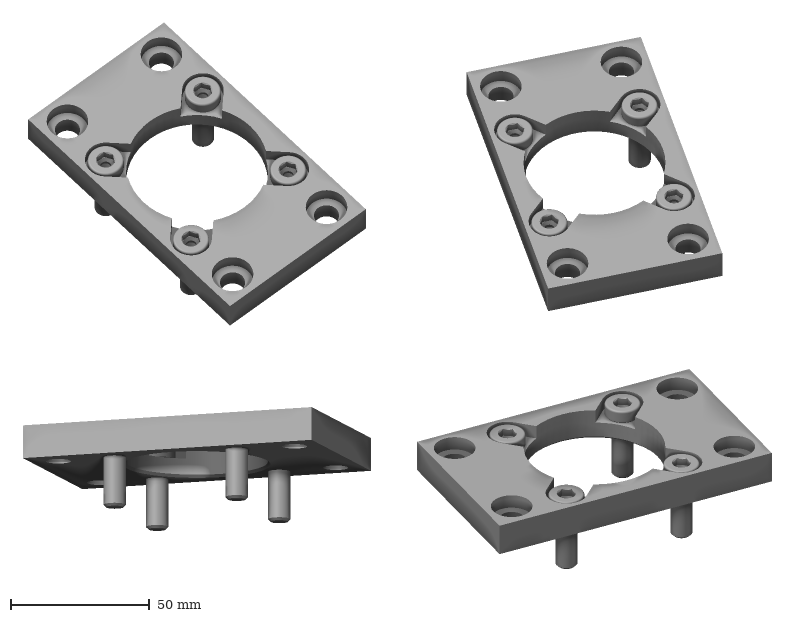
import cadquery as cq
import math

PLATE_LENGTH = 110.0
PLATE_WIDTH = 65.0
PLATE_THICKNESS = 12.0
BORE_DIAMETER = 51.0
BORE_CHAMFER = 1.0

MOUNT_SPACING_X = 90.0
MOUNT_SPACING_Y = 45.0
MOUNT_HOLE_DIAMETER = 9.0
COUNTERBORE_DIAMETER = 15.0
COUNTERBORE_DEPTH = 5.2

SCREW_COUNT = 4
SCREW_CIRCLE_RADIUS = 32.9
FIRST_SCREW_ANGLE = 45.0
SCREW_ANGLES = [FIRST_SCREW_ANGLE + i * 360.0 / SCREW_COUNT for i in range(SCREW_COUNT)]
SHANK_DIAMETER = 8.0
SHANK_BOTTOM_Z = -18.3
SHANK_CHAMFER = 0.9
HEAD_DIAMETER = 13.0
HEAD_HEIGHT = 5.0
HEAD_FILLET = 0.8
HEAD_BASE_CHAMFER = 0.4

HEX_ACROSS_FLATS = 6.0
HEX_ACROSS_CORNERS = HEX_ACROSS_FLATS / math.cos(math.pi / 6)
HEX_DEPTH = 3.0
SOCKET_FLOOR_DROP = 0.9
PILOT_DIAMETER = 4.0
PILOT_DEPTH = 1.1
PILOT_TIP_DEPTH = 2.0

POCKET_FLOOR_Z = PLATE_THICKNESS - COUNTERBORE_DEPTH
HEAD_TOP_Z = POCKET_FLOOR_Z + HEAD_HEIGHT


def make_screw_pocket(angle):
    """Round-ended slot under a screw head, open toward the bore."""
    seat = cq.Workplane().center(SCREW_CIRCLE_RADIUS, 0).circle(COUNTERBORE_DIAMETER / 2)
    channel = (
        cq.Workplane()
        .center(SCREW_CIRCLE_RADIUS / 2, 0)
        .rect(SCREW_CIRCLE_RADIUS, COUNTERBORE_DIAMETER)
    )
    pocket = seat.extrude(COUNTERBORE_DEPTH).union(channel.extrude(COUNTERBORE_DEPTH))
    return pocket.translate((0, 0, POCKET_FLOOR_Z)).rotate((0, 0, 0), (0, 0, 1), angle)


def make_plate():
    """Rectangular plate with a central bore, four mounting holes and four screw seats."""
    plate = cq.Workplane().box(
        PLATE_LENGTH, PLATE_WIDTH, PLATE_THICKNESS, centered=(True, True, False)
    )
    plate = plate.faces(">Z").workplane().hole(BORE_DIAMETER)
    plate = plate.faces("<Z").edges("%CIRCLE").chamfer(BORE_CHAMFER)
    plate = (
        plate.faces(">Z")
        .workplane()
        .rarray(MOUNT_SPACING_X, MOUNT_SPACING_Y, 2, 2)
        .cboreHole(MOUNT_HOLE_DIAMETER, COUNTERBORE_DIAMETER, COUNTERBORE_DEPTH)
    )
    for angle in SCREW_ANGLES:
        plate = plate.cut(make_screw_pocket(angle))
    return (
        plate.faces("<Z")
        .workplane()
        .polarArray(SCREW_CIRCLE_RADIUS, FIRST_SCREW_ANGLE, 360, SCREW_COUNT)
        .hole(SHANK_DIAMETER)
    )


def make_socket():
    """Hexagon socket with a countersunk mouth, a conical floor and a pilot hole."""
    hexagon = (
        cq.Workplane()
        .workplane(offset=HEAD_TOP_Z - HEX_DEPTH)
        .polygon(6, HEX_ACROSS_CORNERS)
        .extrude(HEX_DEPTH)
        .rotate((0, 0, 0), (0, 0, 1), 90)
    )
    flat_radius = HEX_ACROSS_FLATS / 2
    corner_radius = HEX_ACROSS_CORNERS / 2
    pilot_radius = PILOT_DIAMETER / 2
    floor_z = HEAD_TOP_Z - HEX_DEPTH
    pilot_top_z = floor_z - SOCKET_FLOOR_DROP
    pilot_bottom_z = pilot_top_z - PILOT_DEPTH
    mouth_bottom_z = HEAD_TOP_Z - (corner_radius - flat_radius)
    turned_recess = (
        cq.Workplane("XZ")
        .moveTo(0, HEAD_TOP_Z)
        .lineTo(corner_radius, HEAD_TOP_Z)
        .lineTo(flat_radius, mouth_bottom_z)
        .lineTo(flat_radius, floor_z)
        .lineTo(pilot_radius, pilot_top_z)
        .lineTo(pilot_radius, pilot_bottom_z)
        .lineTo(0, pilot_bottom_z - PILOT_TIP_DEPTH)
        .close()
        .revolve(360, (0, 0, 0), (0, 1, 0))
    )
    return hexagon.union(turned_recess)


def make_screw(angle):
    """Low-head socket cap screw standing in the seat at the given angle."""
    shank = (
        cq.Workplane()
        .workplane(offset=SHANK_BOTTOM_Z)
        .circle(SHANK_DIAMETER / 2)
        .extrude(POCKET_FLOOR_Z - SHANK_BOTTOM_Z)
        .faces("<Z")
        .chamfer(SHANK_CHAMFER)
    )
    head = (
        cq.Workplane()
        .workplane(offset=POCKET_FLOOR_Z)
        .circle(HEAD_DIAMETER / 2)
        .extrude(HEAD_HEIGHT)
        .faces(">Z")
        .edges()
        .fillet(HEAD_FILLET)
        .faces("<Z")
        .chamfer(HEAD_BASE_CHAMFER)
    )
    screw = head.union(shank).cut(make_socket())
    x = SCREW_CIRCLE_RADIUS * math.cos(math.radians(angle))
    y = SCREW_CIRCLE_RADIUS * math.sin(math.radians(angle))
    return screw.translate((x, y, 0))


plate = make_plate()
screws = [make_screw(angle) for angle in SCREW_ANGLES]

result = cq.Compound.makeCompound([plate.val(), *[screw.val() for screw in screws]])